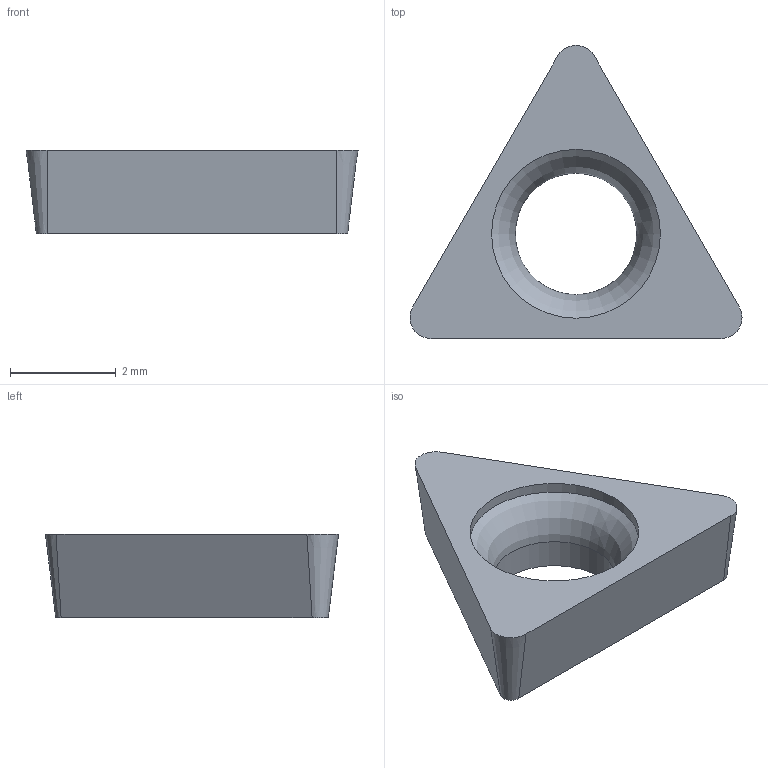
import cadquery as cq
import math

inscribed_diameter = 3.97
thickness = 1.59
corner_radius = 0.4
relief_angle = 7.0

mouth_diameter = 3.2
mouth_depth = 0.2
bore_diameter = 2.3
seat_radius = 1.0


def rounded_triangle(nose_radius, height):
    """Triangle around the Z axis with rounded corners, lying at the given height."""
    centre_distance = inscribed_diameter - 2 * corner_radius
    return (
        cq.Workplane("XY", origin=(0, 0, height))
        .transformed(rotate=(0, 0, 90))
        .polygon(3, 2 * centre_distance)
        .offset2D(nose_radius, "arc")
    )


def make_body():
    """Insert body, narrowing from the top face down by the relief angle."""
    relief = thickness * math.tan(math.radians(relief_angle))
    bottom = rounded_triangle(corner_radius - relief, 0).val()
    top = rounded_triangle(corner_radius, thickness).val()
    return cq.Workplane(cq.Solid.makeLoft([bottom, top], True))


def make_screw_hole():
    """Hole cutter: revolved profile whose seat arc runs tangent into the bore."""
    mouth_r = mouth_diameter / 2
    bore_r = bore_diameter / 2
    seat_top = thickness - mouth_depth
    arc_centre_r = bore_r + seat_radius
    seat_height = math.sqrt(seat_radius**2 - (arc_centre_r - mouth_r) ** 2)
    half_angle = math.asin(seat_height / seat_radius) / 2
    seat_bottom = seat_top - seat_height
    seat_middle = (
        arc_centre_r - seat_radius * math.cos(half_angle),
        seat_bottom + seat_radius * math.sin(half_angle),
    )
    return (
        cq.Workplane("XZ")
        .moveTo(0, 0)
        .lineTo(bore_r, 0)
        .lineTo(bore_r, seat_bottom)
        .threePointArc(seat_middle, (mouth_r, seat_top))
        .lineTo(mouth_r, thickness)
        .lineTo(0, thickness)
        .close()
        .revolve(360, (0, 0), (0, 1))
    )


result = make_body().cut(make_screw_hole())